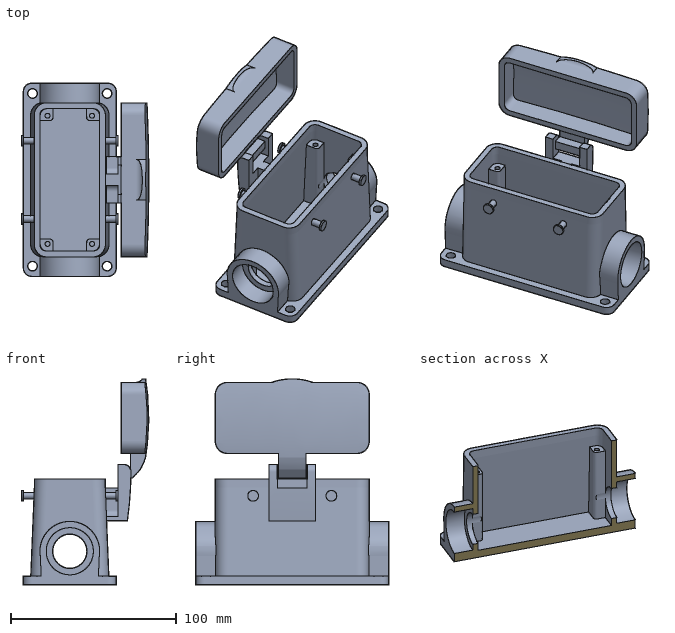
import cadquery as cq
import math

flange_width = 56.3
flange_length = 117.0
flange_height = 5.2
flange_corner = 5.2
box_length = 93.2
box_top_width = 43.0
box_bottom_width = 47.3
box_corner = 7.5
wall = 3.6
rim_bottom = 58.5
housing_top = 64.0

mount_hole_diameter = 5.6
mount_hole_x = 22.5
mount_hole_y = 52.2

entry_radius = 18.0
entry_height = 20.3
entry_band = 6.0
entry_foot_half_width = 17.1
entry_bore = 20.5
entry_counterbore = 28.5

post_top = 51.6
post_inner_x = 10.1
post_inner_y = 35.9
post_corner = 2.0
screw_hole_diameter = 3.0
screw_hole_x = 13.5
screw_hole_y = 38.7

wall_root = box_top_width / 2 - wall / 2

pin_reach = 29.1
pin_y = 23.7
pin_height = 53.8
pin_diameter = 4.1
pin_head_diameter = 6.5
pin_head_thickness = 1.2

bracket_width = 28.2
bracket_bottom = 38.7
bracket_plate = 2.5
bracket_front = 29.0
bracket_back = 37.0
bracket_foot_back = 34.9
bracket_top = 72.9
bracket_corner = 4.5
slot_width = 17.9
rib_width = 6.7
rib_fillet = 3.7

lid_front = 31.0
lid_back = 47.8
lid_bottom = 79.3
lid_height = 43.1
lid_length = box_length
lid_corner = 7.5
lid_back_thickness = 3.0
crown_rise_z = 1.6
crown_rise_y = 1.1
dome_oversize = 2
lid_middle = lid_bottom + lid_height / 2
lid_top = lid_bottom + lid_height

tab_half_width = 12.3
tab_top = 124.5
tab_front = 40.2
tab_crest = 43.8
tab_rise = tab_top - lid_top

arm_width = 16.8
arm_front = 36.6
arm_back = 46.5
tongue_top = 70.1
tongue_bottom = 64.5
tongue_tip_x = 37.9
arm_bend = (42.5, 69.5)
arm_curve = (44.7, 73.9)


def rounded_bar(width, length, corner, bottom, top):
    """Upright box centred on Z with rounded vertical edges."""
    bar = cq.Workplane("XY").workplane(offset=bottom).rect(width, length)
    return bar.extrude(top - bottom).edges("|Z").fillet(corner)


def side_profile(width):
    """Workplane for outlines in X and Z that are extruded symmetrically over a width in Y."""
    return cq.Workplane("XZ", origin=(0, width / 2, 0))


def tapered_box(inset, bottom):
    """Box with sloping long sides and a straight rim, shrunk by an inset on every side."""
    half_bottom = box_bottom_width / 2 - inset
    half_top = box_top_width / 2 - inset
    length = box_length - 2 * inset
    outline = [
        (-half_bottom, bottom),
        (-half_top, rim_bottom),
        (-half_top, housing_top),
        (half_top, housing_top),
        (half_top, rim_bottom),
        (half_bottom, bottom),
    ]
    box = side_profile(length).polyline(outline).close().extrude(length)
    return box.edges("not (|X or |Y)").fillet(box_corner - inset)


def cable_entries():
    """Arched bosses that run the whole flange length; the cavity is cut from them later."""
    half_band = entry_band / 2
    band_x = math.sqrt(entry_radius**2 - half_band**2)
    band_top = entry_height + half_band
    band_bottom = entry_height - half_band
    return (
        side_profile(flange_length)
        .moveTo(-entry_foot_half_width, 0)
        .lineTo(-band_x, band_bottom)
        .threePointArc((-entry_radius, entry_height), (-band_x, band_top))
        .threePointArc((0, entry_height + entry_radius), (band_x, band_top))
        .threePointArc((entry_radius, entry_height), (band_x, band_bottom))
        .lineTo(entry_foot_half_width, 0)
        .close()
        .extrude(flange_length)
    )


def entry_holes():
    """Bore through both ends, counterbored as deep as the bosses stand out."""
    holes = side_profile(flange_length).center(0, entry_height).circle(entry_bore / 2).extrude(flange_length)
    depth = (flange_length - box_length) / 2
    for start in (flange_length / 2, -box_length / 2):
        counterbore = cq.Workplane("XZ", origin=(0, start, entry_height))
        holes = holes.union(counterbore.circle(entry_counterbore / 2).extrude(depth))
    return holes


def screw_posts(cavity):
    """Four corner posts that fill the cavity corners up to the post height."""
    post_x = box_bottom_width / 2 - post_inner_x
    post_y = box_length / 2 - post_inner_y
    centers = [
        (sx * (post_inner_x + post_x / 2), sy * (post_inner_y + post_y / 2))
        for sx in (-1, 1) for sy in (-1, 1)
    ]
    height = post_top - flange_height
    base = cq.Workplane("XY").workplane(offset=flange_height)
    posts = base.pushPoints(centers).rect(post_x, post_y).extrude(height).edges("|Z").fillet(post_corner)
    posts = posts.intersect(cavity)
    screw_holes = (
        base.rect(2 * screw_hole_x, 2 * screw_hole_y, forConstruction=True)
        .vertices().circle(screw_hole_diameter / 2).extrude(height)
    )
    return posts.cut(screw_holes)


def locking_pin(side, y):
    """Headed pin that starts inside the wall and points outward along X."""
    shank = cq.Workplane("YZ", origin=(wall_root, y, pin_height))
    shank = shank.circle(pin_diameter / 2).extrude(pin_reach - wall_root)
    head = cq.Workplane("YZ", origin=(pin_reach - pin_head_thickness, y, pin_height))
    head = head.circle(pin_head_diameter / 2).extrude(pin_head_thickness)
    pin = shank.union(head)
    return pin if side > 0 else pin.mirror("YZ")


def hinge_bracket():
    """Forked upright carried by a bottom plate and a filleted middle rib."""
    plate_top = bracket_bottom + bracket_plate
    corner_middle = bracket_corner * (1 - math.sqrt(0.5))
    upright = (
        side_profile(bracket_width)
        .moveTo(bracket_front, bracket_bottom)
        .lineTo(bracket_front, bracket_top)
        .lineTo(bracket_back - bracket_corner, bracket_top)
        .threePointArc(
            (bracket_back - corner_middle, bracket_top - corner_middle),
            (bracket_back, bracket_top - bracket_corner),
        )
        .tangentArcPoint((bracket_foot_back, bracket_bottom), relative=False)
        .close()
        .extrude(bracket_width)
    )
    slot = cq.Workplane("XY").box(
        bracket_back, slot_width, bracket_top, centered=(False, True, False)
    ).translate((bracket_front, 0, rim_bottom))
    half_rib = rib_width / 2
    foot = half_rib + rib_fillet
    fillet_top = plate_top + rib_fillet
    support = (
        cq.Workplane("YZ", origin=(wall_root, 0, 0))
        .moveTo(-bracket_width / 2, bracket_bottom)
        .lineTo(-bracket_width / 2, plate_top)
        .lineTo(-foot, plate_top)
        .radiusArc((-half_rib, fillet_top), -rib_fillet)
        .lineTo(-half_rib, rim_bottom)
        .lineTo(half_rib, rim_bottom)
        .lineTo(half_rib, fillet_top)
        .radiusArc((foot, plate_top), -rib_fillet)
        .lineTo(bracket_width / 2, plate_top)
        .lineTo(bracket_width / 2, bracket_bottom)
        .close()
        .extrude(bracket_front - wall_root)
    )
    return upright.cut(slot).union(support)


def make_housing():
    cavity = tapered_box(wall, flange_height)
    flange = rounded_bar(flange_width, flange_length, flange_corner, 0, flange_height)
    mount_holes = (
        cq.Workplane("XY").rect(2 * mount_hole_x, 2 * mount_hole_y, forConstruction=True)
        .vertices().circle(mount_hole_diameter / 2).extrude(flange_height)
    )
    body = flange.cut(mount_holes).union(tapered_box(0, flange_height)).union(cable_entries())
    body = body.union(hinge_bracket())
    for side in (-1, 1):
        for y in (-pin_y, pin_y):
            body = body.union(locking_pin(side, y))
    return body.cut(cavity).union(screw_posts(cavity)).cut(entry_holes())


def domed_block(crown_x):
    """Oversize block whose +X face is crowned in both Y and Z, highest at crown_x."""
    half_height = lid_height / 2
    radius_z = (half_height**2 + crown_rise_z**2) / (2 * crown_rise_z)
    radius_y = ((lid_length / 2)**2 + crown_rise_y**2) / (2 * crown_rise_y)
    reach = dome_oversize * half_height
    drop = radius_z - math.sqrt(radius_z**2 - reach**2)
    angle = 2 * dome_oversize * math.degrees(math.asin(lid_length / 2 / radius_y))
    axis_x = crown_x - radius_y
    block = (
        cq.Workplane("XZ")
        .moveTo(0, lid_middle - reach)
        .lineTo(crown_x - drop, lid_middle - reach)
        .threePointArc((crown_x, lid_middle), (crown_x - drop, lid_middle + reach))
        .lineTo(0, lid_middle + reach)
        .close()
        .revolve(angle, (axis_x, 0), (axis_x, 1))
    )
    return block.rotate((axis_x, 0, 0), (axis_x, 0, 1), -angle / 2)


def lid_bar(inset):
    """Rounded bar along X, shrunk by an inset on its four sides."""
    bar = cq.Workplane("YZ", origin=(lid_front, 0, lid_middle))
    bar = bar.rect(lid_length - 2 * inset, lid_height - 2 * inset).extrude(lid_back - lid_front)
    return bar.edges("|X").fillet(lid_corner - inset)


def thumb_tab():
    """Arched tab on the lid's top edge with a concave finger scoop in front."""
    arch = (
        cq.Workplane("YZ", origin=(tab_front, 0, 0))
        .moveTo(-tab_half_width, lid_top - wall / 2)
        .lineTo(-tab_half_width, lid_top)
        .threePointArc((0, tab_top), (tab_half_width, lid_top))
        .lineTo(tab_half_width, lid_top - wall / 2)
        .close()
        .extrude(lid_back - tab_front)
    )
    run = tab_crest - tab_front
    scoop_radius = (run**2 + tab_rise**2) / (2 * tab_rise)
    scoop = (
        side_profile(2 * tab_half_width).center(tab_front, lid_top + scoop_radius)
        .circle(scoop_radius).extrude(2 * tab_half_width)
    )
    return arch.cut(scoop)


def hinge_arm():
    """Curved arm under the lid that ends in a tongue between the bracket ears."""
    return (
        side_profile(arm_width)
        .moveTo(arm_front, lid_bottom + wall / 2)
        .lineTo(arm_front, tongue_top)
        .lineTo(lid_front, tongue_top)
        .lineTo(lid_front, tongue_bottom)
        .lineTo(tongue_tip_x, tongue_bottom)
        .lineTo(*arm_bend)
        .threePointArc(arm_curve, (arm_back, lid_bottom))
        .lineTo(arm_back, lid_bottom + wall / 2)
        .close()
        .extrude(arm_width)
    )


def make_lid():
    shell = lid_bar(0).union(thumb_tab()).union(hinge_arm()).intersect(domed_block(lid_back))
    cavity = lid_bar(wall).intersect(domed_block(lid_back - lid_back_thickness))
    return shell.cut(cavity)


housing = make_housing()
lid = make_lid()
result = cq.Compound.makeCompound([housing.solids().val(), lid.solids().val()])